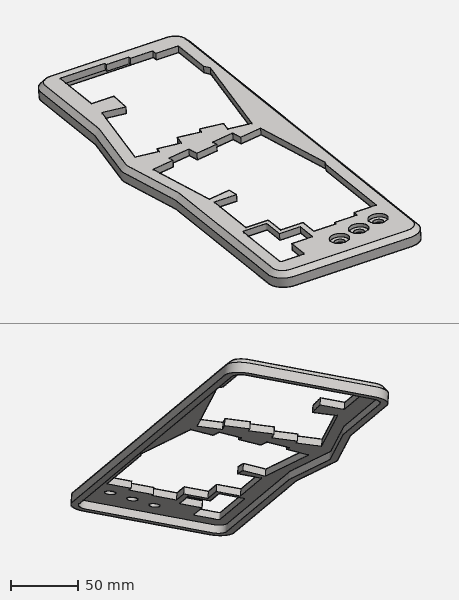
import cadquery as cq
import math

length = 379.0
side_depth = 128.0
body_height = 12.0
plate_thickness = 5.5
wall_thickness = 5.5
corner_radius = 14.5
edge_chamfer = 4.0
tilt_angle = 5.0
cutter_height = 2 * body_height

splay_angle = 10.0
point_x = -30.0
point_half_width = 62.0
point_drop = point_half_width * math.tan(math.radians(splay_angle))

row_count = 5
key_field_depth = 95.5
key_pitch = key_field_depth / row_count
straight_rear_y = -14.0

left_block_x = -178.0
left_row_indents = [0.5, 0.25, 0.125, 0, 0]
left_block_inner_x = -129.5
right_block_x = 144.0
right_row_indents = [0.375, 0.125, 0, 0.875, 1.875]
right_block_inner_x = 59.5

left_splay_corner = (-30.5, -27.5)
left_splay_ends = [0, 0.5, 0.25, -0.25, -0.5]
left_splay_reach = 5.0
left_splay_front_reach = 3.5
right_splay_corner = (-19.7, -26.0)
right_splay_ends = [0, -0.5, -0.25, -0.75, -0.5]
right_splay_reach = 4.0
right_splay_front_reach = 3.0

arrow_left_x = 112.0
arrow_width = 58.5
arrow_rear_y = -76.0
arrow_front_y = -114.5
arrow_bar_depth = 20.5
arrow_stem_width = 19.0
arrow_corner_radius = 1.25

hole_count = 3
hole_diameter = 8.5
counterbore_diameter = 15.0
counterbore_depth = 3.0
first_hole = (155.8, -23.0)
hole_step_x = key_pitch / 4
hole_step_y = -key_pitch


def rounded_block(inset, height):
    """A block that follows the outer outline, inset all round, standing on the underside."""
    half = length / 2
    block = (
        cq.Workplane("XY", origin=(0, 0, -body_height))
        .moveTo(-half, 0)
        .lineTo(-half, -side_depth)
        .lineTo(point_x - point_half_width, -side_depth)
        .lineTo(point_x, -side_depth - point_drop)
        .lineTo(point_x + point_half_width, -side_depth)
        .lineTo(half, -side_depth)
        .lineTo(half, 0)
        .close()
        .offset2D(-inset)
        .extrude(height)
    )
    outer_corners = block.edges("|Z and (<X or >X or <Y)")
    return outer_corners.fillet(corner_radius - inset)


def shell():
    """The chamfered body, hollow underneath so that a plate with a rim remains."""
    body = rounded_block(0, body_height).faces(">Z").chamfer(edge_chamfer)
    cavity = rounded_block(wall_thickness, body_height - plate_thickness)
    return body.cut(cavity)


def row_cutter(x_start, x_end, y_rear):
    """One row of keys as a box through the plate."""
    return (
        cq.Workplane("XY")
        .box(x_end - x_start, key_pitch, cutter_height, centered=False)
        .translate((x_start, y_rear - key_pitch, -body_height))
    )


def place_splayed(cutter, corner, angle):
    return cutter.rotate((0, 0, 0), (0, 0, 1), angle).translate((*corner, 0))


def cut_key_rows(body):
    for row in range(row_count):
        front_row = row == row_count - 1
        y_offset = -row * key_pitch
        straight_y = straight_rear_y + y_offset

        left_start = left_block_x + left_row_indents[row] * key_pitch
        body = body.cut(row_cutter(left_start, left_block_inner_x, straight_y))

        right_end = right_block_x - right_row_indents[row] * key_pitch
        body = body.cut(row_cutter(right_block_inner_x, right_end, straight_y))

        reach = left_splay_front_reach if front_row else left_splay_reach
        cutter = row_cutter(-reach * key_pitch, -left_splay_ends[row] * key_pitch, y_offset)
        body = body.cut(place_splayed(cutter, left_splay_corner, -splay_angle))

        reach = right_splay_front_reach if front_row else right_splay_reach
        cutter = row_cutter(right_splay_ends[row] * key_pitch, reach * key_pitch, y_offset)
        body = body.cut(place_splayed(cutter, right_splay_corner, splay_angle))
    return body


def splayed_point(pitches, y, corner, angle):
    """Where a point of a splayed block, given along its rows and across them, lies on the plate."""
    x = pitches * key_pitch
    cosine = math.cos(math.radians(angle))
    sine = math.sin(math.radians(angle))
    return (corner[0] + x * cosine - y * sine, corner[1] + x * sine + y * cosine)


def bridge_cutter(inner_x, corner, angle, rear_reach, front_reach):
    """Joins a straight block to its splayed neighbour over all rows but the front one."""
    bridge_depth = (row_count - 1) * key_pitch
    return (
        cq.Workplane("XY", origin=(0, 0, -body_height))
        .moveTo(inner_x, straight_rear_y)
        .lineTo(*splayed_point(rear_reach, 0, corner, angle))
        .lineTo(*splayed_point(front_reach, -bridge_depth, corner, angle))
        .lineTo(inner_x, straight_rear_y - bridge_depth)
        .close()
        .extrude(cutter_height)
    )


def cut_bridges(body):
    left = bridge_cutter(
        left_block_inner_x, left_splay_corner, -splay_angle, -left_splay_reach, -left_splay_front_reach
    )
    right = bridge_cutter(
        right_block_inner_x, right_splay_corner, splay_angle, right_splay_reach, right_splay_front_reach
    )
    return body.cut(left).cut(right)


def arrow_window():
    centre_x = arrow_left_x + arrow_width / 2
    bar = (
        cq.Workplane("XY")
        .box(arrow_width, arrow_bar_depth, cutter_height, centered=(True, False, True))
        .edges("|Z")
        .fillet(arrow_corner_radius)
    )
    stem = cq.Workplane("XY").box(
        arrow_stem_width, arrow_rear_y - arrow_front_y, cutter_height, centered=(True, False, True)
    )
    return bar.union(stem).translate((centre_x, arrow_front_y, 0))


def cut_counterbored_holes(body):
    centres = [
        (first_hole[0] + i * hole_step_x, first_hole[1] + i * hole_step_y)
        for i in range(hole_count)
    ]
    return (
        body.copyWorkplane(cq.Workplane("XY"))
        .pushPoints(centres)
        .cboreHole(hole_diameter, counterbore_diameter, counterbore_depth)
    )


result = cut_key_rows(shell())
result = cut_bridges(result)
result = result.cut(arrow_window())
result = cut_counterbored_holes(result)
result = result.rotate((0, 0, 0), (1, 0, 0), tilt_angle)